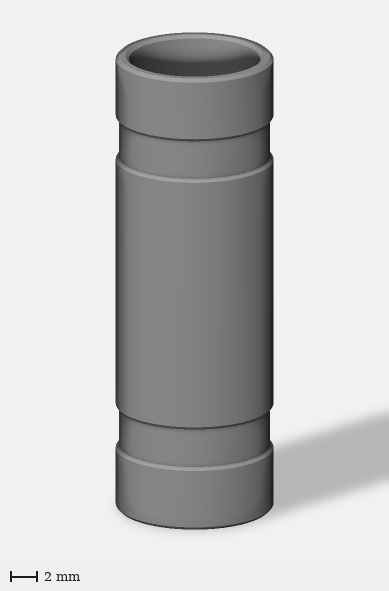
import cadquery as cq

length = 36.0
outer_diameter = 12.0
bore_diameter = 10.0
groove_depth = 0.245
groove_floor_width = 3.0
groove_floor_offset = 5.0
edge_chamfer = 0.25

outer_radius = outer_diameter / 2
groove_radius = outer_radius - groove_depth
cutter_radius = outer_radius + groove_depth
cutter_flare = cutter_radius - groove_radius


def make_tube():
    """Plain tube with every end edge chamfered, inside and outside."""
    tube = (
        cq.Workplane("XY")
        .circle(outer_radius)
        .circle(bore_diameter / 2)
        .extrude(length)
        .translate((0, 0, -length / 2))
    )
    return tube.faces("<Z or >Z").edges().chamfer(edge_chamfer)


def make_groove_cutter(center_z):
    """Ring that cuts a flat-bottomed groove with 45 degree walls."""
    half_floor = groove_floor_width / 2
    half_mouth = half_floor + cutter_flare
    return (
        cq.Workplane("XZ")
        .moveTo(groove_radius, center_z - half_floor)
        .lineTo(cutter_radius, center_z - half_mouth)
        .lineTo(cutter_radius, center_z + half_mouth)
        .lineTo(groove_radius, center_z + half_floor)
        .close()
        .revolve(360, (0, 0, 0), (0, 1, 0))
    )


result = make_tube()
groove_center = length / 2 - groove_floor_offset - groove_floor_width / 2
for side in (-1, 1):
    result = result.cut(make_groove_cutter(side * groove_center))